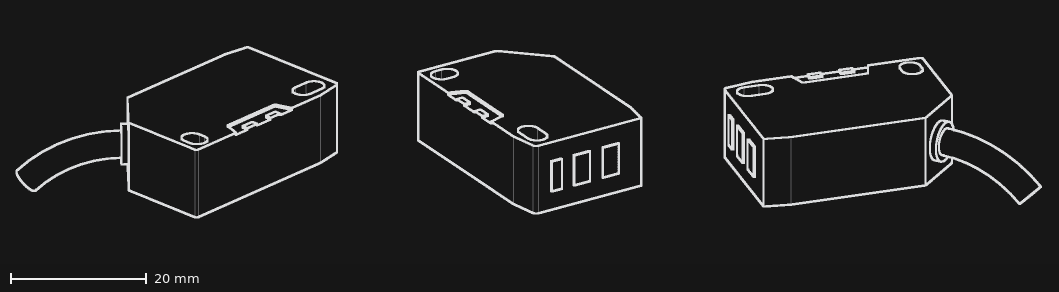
import cadquery as cq

width = 20.0
length = 31.12
thickness = 11.0
cable_chamfer = 6.18
left_taper_width = 0.65
left_taper_length = 4.02
right_taper_width = 0.85
right_taper_length = 4.7
top_corner_radius = 0.6
bottom_corner_radius = 0.35

slot_width = 3.13
slot_x = width - 3.0
upper_slot_y = length - 4.15
upper_slot_length = 5.45
lower_slot_y = 2.72
lower_slot_length = 4.15

panel_center_y = 14.4
panel_depth = 0.33
panel_width = 2.7
panel_outer_length = 11.9
panel_inner_length = 10.15
panel_corner_radius = 0.4
button_width = 1.0
button_length = 2.05
button_height = 0.25
button_centers_y = (11.9, 16.82)

window_height = 4.88
window_projection = 0.2
windows = ((6.05, 2.75), (11.1, 2.75), (15.52, 1.7))

collar_diameter = 6.0
collar_length = 1.0
cable_diameter = 4.05
cable_bend_radius = 19.83
cable_bend_angle = 45


def make_housing():
    body = (
        cq.Workplane("XY")
        .moveTo(cable_chamfer, 0)
        .lineTo(width, 0)
        .lineTo(width, length - right_taper_length)
        .lineTo(width - right_taper_width, length)
        .lineTo(left_taper_width, length)
        .lineTo(0, length - left_taper_length)
        .lineTo(0, cable_chamfer)
        .close()
        .extrude(thickness)
    )
    rounded_corners = (
        (width, 0, bottom_corner_radius),
        (width - right_taper_width, length, top_corner_radius),
    )
    for x, y, radius in rounded_corners:
        corner_edge = cq.selectors.NearestToPointSelector((x, y, thickness / 2))
        body = body.edges(corner_edge).fillet(radius)
    return body


def make_slot(center_y, slot_length, angle):
    return (
        cq.Workplane("XY")
        .center(slot_x, center_y)
        .slot2D(slot_length, slot_width, angle)
        .extrude(thickness)
    )


def make_panel_recess():
    inner_x = width - panel_width
    return (
        cq.Workplane("XY", origin=(0, panel_center_y, thickness - panel_depth))
        .moveTo(width, -panel_outer_length / 2)
        .lineTo(width, panel_outer_length / 2)
        .lineTo(inner_x, panel_inner_length / 2)
        .lineTo(inner_x, -panel_inner_length / 2)
        .close()
        .extrude(panel_depth)
        .edges("|Z and <X")
        .fillet(panel_corner_radius)
    )


def make_button(center_y):
    return (
        cq.Workplane("XY", origin=(width - button_width / 2, center_y, thickness - panel_depth))
        .rect(button_width, button_length)
        .extrude(button_height)
    )


def make_window(center_x, window_width):
    return (
        cq.Workplane("XZ", origin=(center_x, length, thickness / 2))
        .rect(window_width, window_height)
        .extrude(-window_projection)
    )


def make_cable():
    exit_plane = cq.Plane(
        origin=(cable_chamfer / 2, cable_chamfer / 2, thickness / 2),
        xDir=(0, 0, 1),
        normal=(-1, -1, 0),
    )
    collar = cq.Workplane(exit_plane).circle(collar_diameter / 2).extrude(collar_length)
    cable = (
        cq.Workplane(exit_plane)
        .workplane(offset=collar_length)
        .circle(cable_diameter / 2)
        .revolve(cable_bend_angle, (-cable_bend_radius, 0), (-cable_bend_radius, -1))
    )
    return collar.union(cable)


result = (
    make_housing()
    .cut(make_slot(upper_slot_y, upper_slot_length, 90))
    .cut(make_slot(lower_slot_y, lower_slot_length, 0))
    .cut(make_panel_recess())
)
for button_y in button_centers_y:
    result = result.union(make_button(button_y))
for window_x, window_width in windows:
    result = result.union(make_window(window_x, window_width))
result = result.union(make_cable())